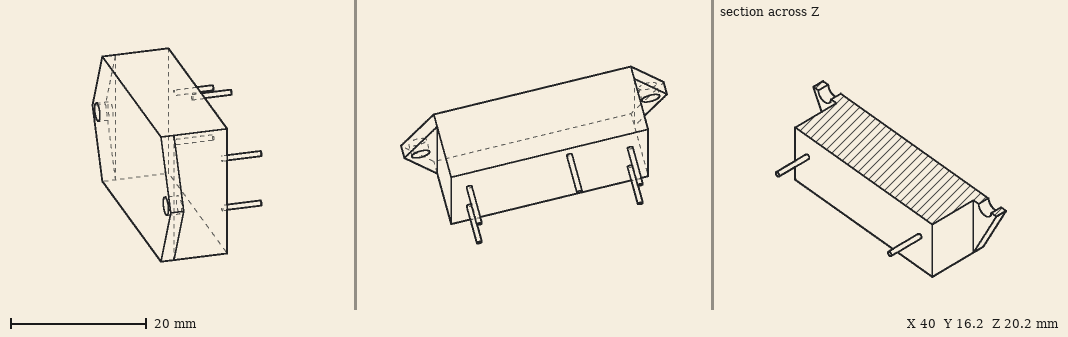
import cadquery as cq

body_length = 30.0
body_depth = 10.2
height = 20.2

flange_length = 40.0
flange_thickness = 2.0
mount_hole_diameter = 2.7
mount_hole_spacing = 35.0

pin_diameter = 0.8
pin_length = 6.0
pin_column_x = 12.25
pin_upper_z = 4.1
pin_lower_z = -3.9
control_pin_x = -3.0
control_pin_z = 7.4
pin_positions = [
    (-pin_column_x, pin_upper_z),
    (-pin_column_x, pin_lower_z),
    (pin_column_x, pin_upper_z),
    (pin_column_x, pin_lower_z),
    (control_pin_x, control_pin_z),
]


def xz_plane(y):
    """Plane at the given Y with local axes along X and Z; negative extrusions run toward +Y."""
    return cq.Plane(origin=(0, y, 0), xDir=(1, 0, 0), normal=(0, -1, 0))


def make_body():
    return cq.Workplane(xz_plane(0)).rect(body_length, height).extrude(-body_depth)


def make_flange():
    half_body = body_length / 2
    half_flange = flange_length / 2
    half_height = height / 2
    outline = [
        (-half_flange, 0),
        (-half_body, half_height),
        (half_body, half_height),
        (half_flange, 0),
        (half_body, -half_height),
        (-half_body, -half_height),
    ]
    return cq.Workplane(xz_plane(0)).polyline(outline).close().extrude(-flange_thickness)


def make_mount_holes():
    half_spacing = mount_hole_spacing / 2
    return (
        cq.Workplane(xz_plane(0))
        .pushPoints([(-half_spacing, 0), (half_spacing, 0)])
        .circle(mount_hole_diameter / 2)
        .extrude(-flange_thickness)
    )


def make_pins():
    return (
        cq.Workplane(xz_plane(body_depth))
        .pushPoints(pin_positions)
        .circle(pin_diameter / 2)
        .extrude(-pin_length)
    )


result = make_body().union(make_flange()).cut(make_mount_holes()).union(make_pins())